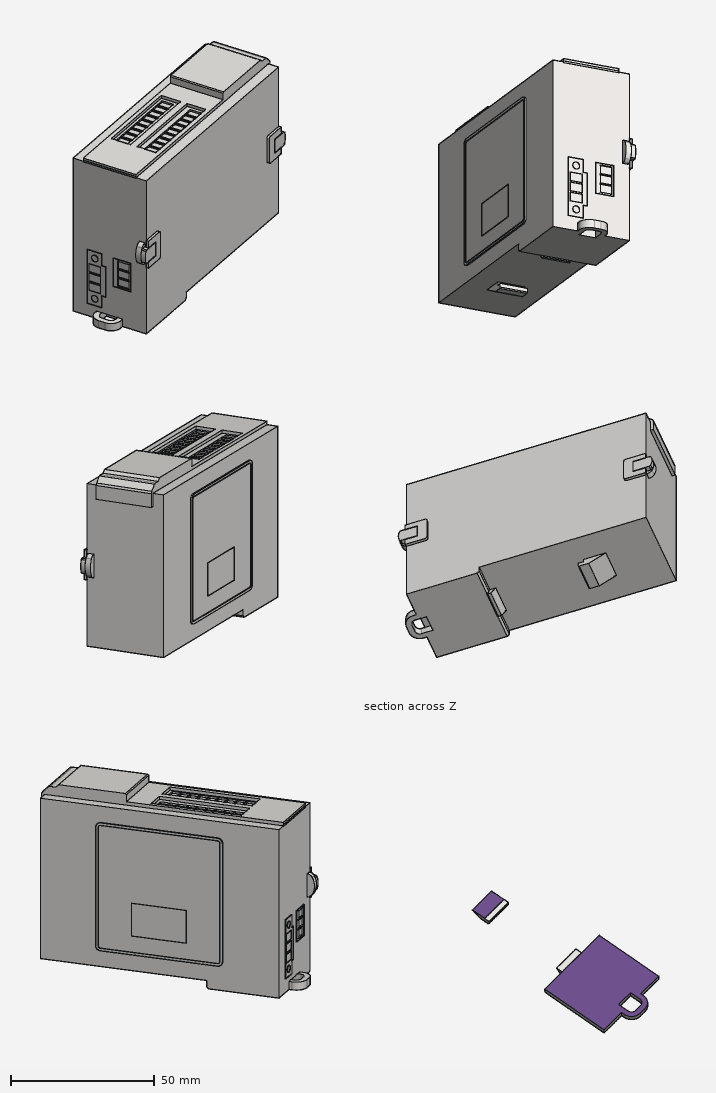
import cadquery as cq
import math


BODY_WIDTH = 29.9
BODY_LENGTH = 89.5
BODY_TOP = 62.6
RAIL_RECESS = 3.0
FOOT_LENGTH = 27.2
FOOT_CHAMFER = 0.8

DECK_LEFT = 4.2
DECK_WIDTH = 21.5
DECK_TOP = 63.9
CAP_FRONT = 58.8
CAP_TOP = 66.9
CAP_EDGE_CHAMFER = 0.4
CAP_LIP_BOTTOM = 57.8
CAP_LIP = 1.2
CAP_BEVEL = 2.0
CAP_LIP_SLOPE = 2
CAP_SHELF_TOP = 65.85
CAP_SHELF_FRONT = 85.3
CAP_SHELF_BACK = 87.4
CAP_SHELF_DROP = 0.2
CAP_BEVEL_TOP = 88.3
SEAM_HEIGHT = 0.7
SEAM_BOTTOM = 62.3
SEAM_DEPTH = 0.1

CELL_WIDTH = 4.7
CELL_LENGTH = 3.2
CELL_PITCH = 3.5
CELL_DEPTH = 0.7

POCKET_FRONT = 16.4
POCKET_LENGTH = 33.8
POCKET_DEPTH = 1.2
POCKET_CELLS = 9
LEFT_POCKET = {"left": 5.7, "width": 7.9, "cell_centre": 9.2}
RIGHT_POCKET = {"left": 16.3, "width": 7.6, "cell_centre": 20.65}

CONNECTOR_RISE = 0.3
BLOCK_LEFT = 16.6
BLOCK_WIDTH = 7.1
BLOCK_BOTTOM = 15.4
BLOCK_HEIGHT = 11.6
BLOCK_CELLS = 3
BLOCK_CELL_CENTRE = 20.65
PLUG_LEFT = 5.9
PLUG_WIDTH = 5.8
PLUG_BOTTOM = 5.2
PLUG_HEIGHT = 22.0
PLUG_TAB_WIDTH = 1.6
PLUG_TAB_HEIGHT = 12.4
PLUG_CENTRE_Z = PLUG_BOTTOM + PLUG_HEIGHT / 2
PLUG_CELLS = 3
PLUG_CELL_PITCH = 3.8
PLUG_CELL_DEPTH = 0.2
PLUG_CELL_CENTRE = 9.0
PLUG_SCREW_SPACING = 16.5
PLUG_SCREW_DIAMETER = 2.6

PANEL_FRONT = 21.0
PANEL_BOTTOM = 9.1
PANEL_SIZE = 47.5
PANEL_RISE = 0.6
PANEL_CORNER = 1.85
FRAME_WIDTH = 1.0
FRAME_DEPTH = 0.3
LABEL_FRONT = 34.7
LABEL_LENGTH = 20.6
LABEL_BOTTOM = 16.0
LABEL_HEIGHT = 12.2
LABEL_DEPTH = 0.2

LATCH_CENTRE_Z = 32.8
LATCH_LEFT = 27.2
LATCH_HEAD_WIDTH = 2.1
LATCH_HEAD_HEIGHT = 8.6
LATCH_REACH = 2.7
LATCH_SHOULDER = 1.9
LATCH_BOW_HEIGHT = 6.2
LATCH_ARM_RIGHT = 31.1
LATCH_ARM_SETBACK = 0.1
LATCH_ARM_HEIGHT = 5.6
LATCH_ARM_LENGTH = 4.5
LATCH_ARM_CHAMFER = 0.4
LATCH_TAB_RIGHT = 30.9
LATCH_TAB_OVERHANG = 0.2
LATCH_TAB_LENGTH = 8.0
LATCH_TAB_HEIGHT = 11.0
LATCH_TAB_ROUND = 0.8

RING_WIDTH = 10.6
RING_REACH = 5.2
RING_CENTRE = 14.9
RING_RADIUS = 4.0
RING_WALL = 2.1
RING_SLOT_DEPTH = 3.0

HOOK_SHELF = 1.8
CATCH_TIP = 29.7
CATCH_BOTTOM_BACK = 27.9
CATCH_BOTTOM_FRONT = 26.7
CATCH_ROOT = 25.8
CATCH_DROP = 0.3
HOOK_BACK = 70.8
HOOK_BOTTOM_BACK = 64.4
HOOK_NECK = 62.4
HOOK_TIP = 60.5
HOOK_TIP_BEVEL = 0.4


def block(x, y, z):
    """Box from three (start, size) pairs."""
    return cq.Workplane("XY").box(x[1], y[1], z[1], centered=False).translate((x[0], y[0], z[0]))


def prism(points, left, width):
    """Extrude a closed (Y, Z) outline along X."""
    return cq.Workplane("YZ").polyline(points).close().extrude(width).translate((left, 0, 0))


def centred_row(count, pitch):
    """Offsets of evenly spaced items about their middle."""
    return [(i - (count - 1) / 2) * pitch for i in range(count)]


def housing():
    outline = [
        (0, 0),
        (FOOT_LENGTH - FOOT_CHAMFER, 0),
        (FOOT_LENGTH, FOOT_CHAMFER),
        (FOOT_LENGTH, RAIL_RECESS),
        (BODY_LENGTH, RAIL_RECESS),
        (BODY_LENGTH, BODY_TOP),
        (0, BODY_TOP),
    ]
    return prism(outline, 0, BODY_WIDTH)


def deck_and_cap():
    back = BODY_LENGTH + CAP_LIP
    bevel_start = CAP_SHELF_TOP - CAP_SHELF_DROP
    bevel_end = CAP_BEVEL_TOP + CAP_BEVEL
    outline = [
        (0, SEAM_BOTTOM),
        (0, DECK_TOP),
        (CAP_FRONT, DECK_TOP),
        (CAP_FRONT, CAP_TOP - CAP_EDGE_CHAMFER),
        (CAP_FRONT + CAP_EDGE_CHAMFER, CAP_TOP),
        (CAP_SHELF_FRONT - (CAP_TOP - CAP_SHELF_TOP), CAP_TOP),
        (CAP_SHELF_FRONT, CAP_SHELF_TOP),
        (CAP_SHELF_BACK, CAP_SHELF_TOP),
        (CAP_BEVEL_TOP, bevel_start),
        (bevel_end, bevel_start - CAP_BEVEL),
        (back, bevel_start - CAP_BEVEL - CAP_LIP_SLOPE * (back - bevel_end)),
        (back, CAP_LIP_BOTTOM),
        (BODY_LENGTH, CAP_LIP_BOTTOM),
        (BODY_LENGTH, SEAM_BOTTOM),
    ]
    seam = block((DECK_LEFT, DECK_WIDTH), (0, SEAM_DEPTH), (SEAM_BOTTOM, SEAM_HEIGHT))
    return prism(outline, DECK_LEFT, DECK_WIDTH), seam


def terminal_pocket(left, width, cell_centre):
    floor = DECK_TOP - POCKET_DEPTH
    cut = block((left, width), (POCKET_FRONT, POCKET_LENGTH), (floor, POCKET_DEPTH))
    middle = POCKET_FRONT + POCKET_LENGTH / 2
    for offset in centred_row(POCKET_CELLS, CELL_PITCH):
        cut = cut.union(block(
            (cell_centre - CELL_WIDTH / 2, CELL_WIDTH),
            (middle + offset - CELL_LENGTH / 2, CELL_LENGTH),
            (floor - CELL_DEPTH, CELL_DEPTH),
        ))
    return cut


def front_cells(count, pitch, centre_x, centre_z, depth):
    """Column of terminal cells sunk into the raised front connectors."""
    centres = [(centre_x, centre_z + offset) for offset in centred_row(count, pitch)]
    return (
        cq.Workplane("XZ", origin=(0, -CONNECTOR_RISE, 0))
        .pushPoints(centres)
        .rect(CELL_WIDTH, CELL_LENGTH)
        .extrude(-depth)
    )


def terminal_block():
    body = block((BLOCK_LEFT, BLOCK_WIDTH), (-CONNECTOR_RISE, CONNECTOR_RISE), (BLOCK_BOTTOM, BLOCK_HEIGHT))
    centre_z = BLOCK_BOTTOM + BLOCK_HEIGHT / 2
    return body, front_cells(BLOCK_CELLS, CELL_PITCH, BLOCK_CELL_CENTRE, centre_z, CELL_DEPTH)


def plug_connector():
    rise = (-CONNECTOR_RISE, CONNECTOR_RISE)
    body = block((PLUG_LEFT, PLUG_WIDTH), rise, (PLUG_BOTTOM, PLUG_HEIGHT))
    tab_bottom = PLUG_CENTRE_Z - PLUG_TAB_HEIGHT / 2
    body = body.union(block((PLUG_LEFT, PLUG_WIDTH + PLUG_TAB_WIDTH), rise, (tab_bottom, PLUG_TAB_HEIGHT)))
    screws = (
        cq.Workplane("XZ", origin=(PLUG_CELL_CENTRE, -CONNECTOR_RISE, PLUG_CENTRE_Z))
        .pushPoints([(0, offset) for offset in centred_row(2, PLUG_SCREW_SPACING)])
        .circle(PLUG_SCREW_DIAMETER / 2)
        .extrude(-PLUG_CELL_DEPTH)
    )
    cells = front_cells(PLUG_CELLS, PLUG_CELL_PITCH, PLUG_CELL_CENTRE, PLUG_CENTRE_Z, PLUG_CELL_DEPTH)
    return body, cells.union(screws)


def side_panel():
    """Raised frame with a sunken field and a sunken label area."""
    panel = block((-PANEL_RISE, PANEL_RISE), (PANEL_FRONT, PANEL_SIZE), (PANEL_BOTTOM, PANEL_SIZE))
    panel = panel.edges("|X").fillet(PANEL_CORNER)
    field_size = PANEL_SIZE - 2 * FRAME_WIDTH
    field = block(
        (-PANEL_RISE, FRAME_DEPTH),
        (PANEL_FRONT + FRAME_WIDTH, field_size),
        (PANEL_BOTTOM + FRAME_WIDTH, field_size),
    ).edges("|X").fillet(PANEL_CORNER - FRAME_WIDTH)
    label = block(
        (FRAME_DEPTH - PANEL_RISE, LABEL_DEPTH),
        (LABEL_FRONT, LABEL_LENGTH),
        (LABEL_BOTTOM, LABEL_HEIGHT),
    )
    return panel.cut(field).cut(label)


def latch():
    """Front latch: bowed head, arm wrapping the corner and a flat tab on the right face."""
    half_head = LATCH_HEAD_HEIGHT / 2
    half_bow = LATCH_BOW_HEIGHT / 2
    drop = half_head - half_bow
    corner_radius = (LATCH_SHOULDER**2 + drop**2) / (2 * drop)
    half_angle = math.asin(LATCH_SHOULDER / corner_radius) / 2
    corner_mid_y = -corner_radius * math.sin(half_angle)
    corner_mid_z = half_head - corner_radius * (1 - math.cos(half_angle))

    def bowed_bar(left, right):
        return (
            cq.Workplane("YZ", origin=(left, 0, LATCH_CENTRE_Z))
            .moveTo(0, half_head)
            .threePointArc((corner_mid_y, corner_mid_z), (-LATCH_SHOULDER, half_bow))
            .threePointArc((-LATCH_REACH, 0), (-LATCH_SHOULDER, -half_bow))
            .threePointArc((corner_mid_y, -corner_mid_z), (0, -half_head))
            .lineTo(LATCH_ARM_LENGTH, -half_head)
            .lineTo(LATCH_ARM_LENGTH, half_head)
            .close()
            .extrude(right - left)
        )

    def centred_z(height):
        return (LATCH_CENTRE_Z - height / 2, height)

    arm_span = (-LATCH_REACH, LATCH_REACH + LATCH_ARM_LENGTH)
    arm_left = LATCH_LEFT + LATCH_HEAD_WIDTH
    arm_limit = block((arm_left, LATCH_ARM_RIGHT - arm_left), arm_span, centred_z(LATCH_ARM_HEIGHT))
    arm = bowed_bar(arm_left, LATCH_ARM_RIGHT).translate((0, LATCH_ARM_SETBACK, 0)).intersect(arm_limit)
    arm = arm.edges("|X").edges("<Y").chamfer(LATCH_ARM_CHAMFER)
    tab = block(
        (BODY_WIDTH, LATCH_TAB_RIGHT - BODY_WIDTH),
        (-LATCH_TAB_OVERHANG, LATCH_TAB_LENGTH + LATCH_TAB_OVERHANG),
        centred_z(LATCH_TAB_HEIGHT),
    ).edges("|X and >Y").fillet(LATCH_TAB_ROUND)
    return bowed_bar(LATCH_LEFT, arm_left).union(arm).union(tab)


def pull_ring():
    """Ring plate and the opening that runs through it into the foot."""
    def loop(width, reach, radius):
        length = reach + RING_SLOT_DEPTH
        plate = block((RING_CENTRE - width / 2, width), (-reach, length), (0, RAIL_RECESS))
        return plate.edges("|Z and <Y").fillet(radius)

    outer = loop(RING_WIDTH, RING_REACH, RING_RADIUS)
    opening = loop(RING_WIDTH - 2 * RING_WALL, RING_REACH - RING_WALL, RING_RADIUS - RING_WALL)
    return outer, opening


def rail_hooks():
    """Sliding catch behind the foot and fixed hook under the rear of the housing."""
    left = RING_CENTRE - RING_WIDTH / 2
    catch = [
        (CATCH_TIP, HOOK_SHELF),
        (CATCH_BOTTOM_BACK, -CATCH_DROP),
        (CATCH_BOTTOM_FRONT, -CATCH_DROP),
        (CATCH_ROOT, CATCH_DROP),
        (CATCH_ROOT, HOOK_SHELF),
    ]
    hook = [
        (HOOK_BACK, RAIL_RECESS),
        (HOOK_BOTTOM_BACK, 0),
        (HOOK_TIP + HOOK_TIP_BEVEL, 0),
        (HOOK_TIP, HOOK_TIP_BEVEL),
        (HOOK_TIP, HOOK_SHELF),
        (HOOK_NECK, HOOK_SHELF),
        (HOOK_NECK, RAIL_RECESS),
    ]
    return prism(catch, left, RING_WIDTH).union(prism(hook, left, RING_WIDTH))


deck, deck_seam = deck_and_cap()
result = housing().union(deck).cut(deck_seam)

for pocket in (LEFT_POCKET, RIGHT_POCKET):
    result = result.cut(terminal_pocket(**pocket))

for raised, sunken in (terminal_block(), plug_connector()):
    result = result.union(raised).cut(sunken)

front_latch = latch()
rear_latch = front_latch.mirror("XZ", (0, BODY_LENGTH / 2, 0))
for part in (side_panel(), front_latch, rear_latch, rail_hooks()):
    result = result.union(part)

ring, ring_opening = pull_ring()
result = result.union(ring).cut(ring_opening)